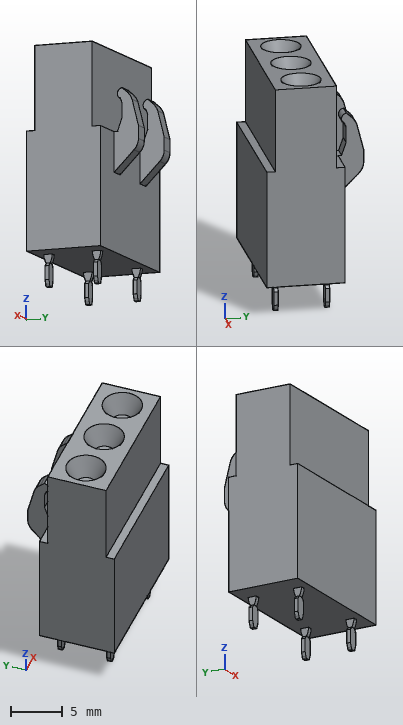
import cadquery as cq

pole_pitch = 5.08
pole_count = 3
housing_length = pole_count * pole_pitch
base_depth = 7.74
base_height = 11.86
upper_depth = 6.04
upper_height = 8.39
housing_height = base_height + upper_height

entry_top_diameter = 3.92
entry_floor_diameter = 1.96
entry_depth = 2.0

hook_width = 1.5
hook_spacing = 6.6
hook_reach = 2.54
hook_root_bottom = (0, -4.0)
hook_bend_start = (2.07, -1.93)
hook_bend_middle = (2.41, -1.44)
hook_bend_end = (hook_reach, -0.85)
hook_back_top = (hook_reach, 0.45)
hook_shoulder_start = (1.87, 3.07)
hook_shoulder_middle = (1.65, 3.5)
hook_shoulder_end = (1.25, 3.92)
hook_tip_start = (0.82, 4.3)
hook_tip_middle = (0.39, 3.98)
hook_tip_end = (0.43, 3.4)
hook_throat_middle = (0.68, 3.14)
hook_throat_top = (0.8, 2.78)
hook_throat_bottom = (0.8, 1.3)
hook_heel = (0.34, 0)

pin_row_spacing = 5.08
pin_length = 3.2
neck_length = 0.88
neck_width = 0.5
flare_depth = 0.9
flare_middle_depth = 0.76
blade_width = 1.05
blade_thickness = 0.42
shoulder_height = 0.3
blade_straight_end = 2.55
point_start_depth = 2.98
point_start_width = 0.72
tip_corner_width = 0.59
tip_corner_depth = 3.13
tip_width = 0.4

pin_column_spacing = (pole_count - 1) * pole_pitch


def wire_entry(x):
    """Blind conical recess, widest at the top face."""
    return (
        cq.Workplane("XY", origin=(x, 0, housing_height))
        .circle(entry_top_diameter / 2)
        .workplane(offset=-entry_depth)
        .circle(entry_floor_diameter / 2)
        .loft(ruled=True)
    )


def latch_hook(x):
    """Hook that leaves the back of the base and curls up past its shoulder."""
    return (
        cq.Workplane("YZ", origin=(x - hook_width / 2, base_depth / 2, base_height))
        .moveTo(0, 0)
        .lineTo(*hook_root_bottom)
        .lineTo(*hook_bend_start)
        .threePointArc(hook_bend_middle, hook_bend_end)
        .lineTo(*hook_back_top)
        .lineTo(*hook_shoulder_start)
        .threePointArc(hook_shoulder_middle, hook_shoulder_end)
        .lineTo(*hook_tip_start)
        .threePointArc(hook_tip_middle, hook_tip_end)
        .threePointArc(hook_throat_middle, hook_throat_top)
        .lineTo(*hook_throat_bottom)
        .lineTo(*hook_heel)
        .close()
        .extrude(hook_width)
    )


def make_housing():
    base = cq.Workplane("XY").box(housing_length, base_depth, base_height, centered=(True, True, False))
    upper = cq.Workplane("XY").box(housing_length, upper_depth, housing_height, centered=(True, True, False))
    body = base.union(upper)
    for pole in range(pole_count):
        body = body.cut(wire_entry((pole - (pole_count - 1) / 2) * pole_pitch))
    for side in (-1, 1):
        body = body.union(latch_hook(side * hook_spacing / 2))
    return body


def make_pin(x, y):
    """Flat pin: the outline seen along Y, limited by the thickness outline seen along X."""
    tip_corner_middle = (tip_corner_width / 2, -tip_corner_depth)
    width_outline = (
        cq.Workplane("XZ", origin=(x, y + flare_depth / 2, 0))
        .moveTo(0, 0)
        .lineTo(neck_width / 2, 0)
        .lineTo(neck_width / 2, -neck_length)
        .lineTo(blade_width / 2, -neck_length - shoulder_height)
        .lineTo(blade_width / 2, -blade_straight_end)
        .lineTo(point_start_width / 2, -point_start_depth)
        .threePointArc(tip_corner_middle, (tip_width / 2, -pin_length))
        .lineTo(0, -pin_length)
        .mirrorY()
        .extrude(flare_depth)
    )
    flare_middle = (flare_middle_depth / 2, -neck_length / 2)
    thickness_outline = (
        cq.Workplane("YZ", origin=(x - blade_width / 2, y, 0))
        .moveTo(0, 0)
        .lineTo(flare_depth / 2, 0)
        .threePointArc(flare_middle, (blade_thickness / 2, -neck_length))
        .lineTo(blade_thickness / 2, -pin_length)
        .lineTo(0, -pin_length)
        .mirrorY()
        .extrude(blade_width)
    )
    return width_outline.intersect(thickness_outline)


housing = make_housing()
pins = [
    make_pin(column * pin_column_spacing / 2, row * pin_row_spacing / 2)
    for column in (-1, 1)
    for row in (-1, 1)
]
result = cq.Compound.makeCompound([housing.val(), *[pin.val() for pin in pins]])